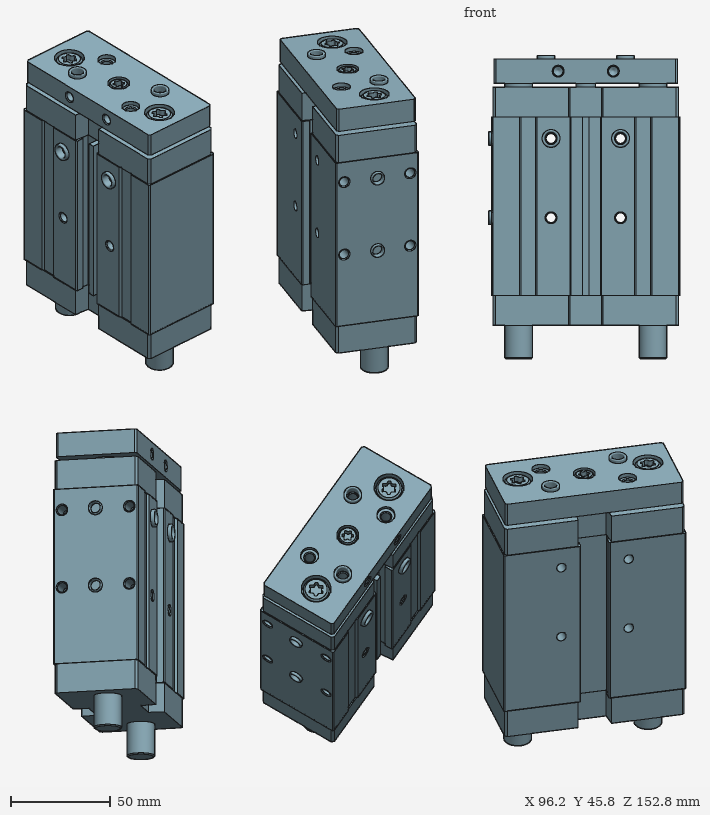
import cadquery as cq
import math


total_height = 152.8
sleeve_projection = 1.8
plate_thickness = 12.2
plate_gap = 2.0
cap_height = 15.0
profile_height = 90.0

plate_top = total_height - sleeve_projection
plate_bottom = plate_top - plate_thickness
upper_cap_top = plate_bottom - plate_gap
profile_top = upper_cap_top - cap_height
profile_bottom = profile_top - profile_height
lower_cap_bottom = profile_bottom - cap_height

profile_width = 94.7
profile_depth = 44.0
profile_chamfer = 0.6
cap_width = 93.5
cap_depth = 43.0
cap_chamfer = 1.2
plate_width = 92.6
plate_depth = 41.9
plate_chamfer = 1.0
profile_front = -profile_depth / 2
profile_side = -profile_width / 2

cap_slot_floor_width = 15.9
cap_slot_mouth_width = 17.4
profile_slot_width = 16.2
profile_lip_gap = 14.7
profile_lip_thickness = 4.3
lip_chamfer = 0.6
slot_floor = 13.5
rail_width = 3.0
rail_front = 18.6
groove_inner = 24.6
groove_outer = 33.5
groove_depth = 1.2
groove_wall_slope = 0.8

guide_spacing = 67.7
guide_offset = -2.9
guide_diameter = 14.0
guide_end_chamfer = 0.6
piston_rod_diameter = 10.0

guide_counterbore = 15.0
guide_head = 13.0
guide_head_chamfer = 0.9
guide_head_recess = 0.6
guide_socket = 7.6
piston_counterbore = 11.0
piston_head = 9.5
piston_head_chamfer = 0.6
piston_head_recess = 0.3
piston_socket = 5.8
counterbore_depth = 6.1
socket_depth = 3.0
socket_valley_ratio = 0.72
socket_lobe_angle = 60.0
guide_socket_turn = 90.0
piston_socket_turn = 0.0

large_sleeve_diameter = 9.0
large_sleeve_bore = 6.1
large_sleeve_seat = 2.1
small_sleeve_diameter = 7.0
small_sleeve_bore = 5.3
small_sleeve_seat = 1.2
small_sleeve_projection = 1.5

thread_diameter = 4.9
thread_mouth = 6.0
plate_hole_x = 20.0
plate_hole_y = 10.0
plate_front_hole_x = 13.9
plate_front_hole_depth = 9.2
body_hole_spacing = 35.0
upper_hole_z = 111.0
lower_hole_z = 71.0
side_hole_depth = 12.2
drill_angle = 118.0


def block(width, depth, bottom, top, edge_chamfer):
    """Upright rectangular block with chamfered vertical edges."""
    base = cq.Workplane("XY").workplane(offset=bottom)
    return base.rect(width, depth).extrude(top - bottom).edges("|Z").chamfer(edge_chamfer)


def rod(x, y, diameter, bottom, top):
    base = cq.Workplane("XY").workplane(offset=bottom)
    return base.center(x, y).circle(diameter / 2).extrude(top - bottom)


def turning_plane(point, direction):
    """Plane whose local Y runs along direction and whose local X is the radius."""
    along = cq.Plane(origin=point, normal=direction)
    return cq.Workplane(cq.Plane(origin=point, xDir=along.xDir, normal=along.xDir.cross(along.zDir)))


def turned(outline):
    return outline.close().revolve(360, (0, 0), (0, 1))


def threaded_hole(mouth, direction, depth):
    """Cutter for a blind hole with a chamfered mouth and a drilled tip."""
    radius = thread_diameter / 2
    mouth_radius = thread_mouth / 2
    tip = depth + radius / math.tan(math.radians(drill_angle / 2))
    outline = [(0, 0), (mouth_radius, 0), (radius, mouth_radius - radius), (radius, depth), (0, tip)]
    return turned(turning_plane(mouth, direction).polyline(outline))


def through_hole(mouth, direction, length):
    """Cutter for a hole with a chamfered mouth."""
    radius = thread_diameter / 2
    mouth_radius = thread_mouth / 2
    outline = [(0, 0), (mouth_radius, 0), (radius, mouth_radius - radius), (radius, length), (0, length)]
    return turned(turning_plane(mouth, direction).polyline(outline))


def sleeve_seat(mouth, direction, diameter, depth):
    """Cutter for the flat-bottomed recess that holds a centring sleeve."""
    outline = [(0, 0), (diameter / 2, 0), (diameter / 2, depth), (0, depth)]
    return turned(turning_plane(mouth, direction).polyline(outline))


def centring_sleeve(mouth, direction, diameter, bore, seat, projection):
    """Ring with a full-round rim that fills its seat; direction points into the face."""
    outer = diameter / 2
    inner = bore / 2
    rim_radius = (outer - inner) / 2
    rim_start = rim_radius - projection
    outline = (
        turning_plane(mouth, direction)
        .moveTo(inner, seat)
        .lineTo(outer, seat)
        .lineTo(outer, rim_start)
        .threePointArc((outer - rim_radius, -projection), (inner, rim_start))
    )
    return turned(outline)


down = (0, 0, -1)
into_front = (0, 1, 0)
into_side = (1, 0, 0)
guide_places = [(side * guide_spacing / 2, guide_offset) for side in (-1, 1)]
hole_heights = (lower_hole_z, upper_hole_z)


def lengthwise_channel(half_outline, facing, bottom, height):
    """Cutter along Z, symmetric in X.

    half_outline holds (half width, distance from the centre plane) points from floor to mouth;
    facing is -1 for the front face and 1 for the back face.
    """
    right = [(x, facing * y) for x, y in half_outline]
    left = [(-x, facing * y) for x, y in reversed(half_outline)]
    base = cq.Workplane("XY").workplane(offset=bottom)
    return base.polyline(right + left).close().extrude(height)


def drill_for_guides(body):
    for x, y in guide_places:
        body = body.cut(rod(x, y, guide_diameter, 0, total_height))
    return body


def drill_for_piston_rod(body):
    return body.cut(rod(0, 0, piston_rod_diameter, profile_bottom, total_height))


def end_cap(bottom):
    cap = block(cap_width, cap_depth, bottom, bottom + cap_height, cap_chamfer)
    slot = [(cap_slot_floor_width / 2, slot_floor), (cap_slot_mouth_width / 2, cap_depth / 2)]
    for facing in (-1, 1):
        cap = cap.cut(lengthwise_channel(slot, facing, bottom, cap_height))
    return drill_for_guides(cap)


lower_cap = end_cap(lower_cap_bottom)
upper_cap = drill_for_piston_rod(end_cap(profile_top))


def cut_lipped_slots(body):
    face = profile_depth / 2
    lip_inside = face - profile_lip_thickness
    slot = [
        (profile_slot_width / 2, slot_floor),
        (profile_slot_width / 2, lip_inside),
        (profile_lip_gap / 2, lip_inside),
        (profile_lip_gap / 2, face - lip_chamfer),
        (profile_lip_gap / 2 + lip_chamfer, face),
    ]
    for facing in (-1, 1):
        body = body.cut(lengthwise_channel(slot, facing, profile_bottom, profile_height))
    return body


def add_rail(body):
    rail_height = rail_front - slot_floor
    base = cq.Workplane("XY").workplane(offset=profile_bottom)
    rail = base.center(0, -slot_floor - rail_height / 2).rect(rail_width, rail_height)
    return body.union(rail.extrude(profile_height))


def cut_front_grooves(body):
    face = profile_depth / 2
    half_mouth = (groove_outer - groove_inner) / 2
    groove = [(half_mouth - groove_wall_slope, face - groove_depth), (half_mouth, face)]
    cutter = lengthwise_channel(groove, -1, profile_bottom, profile_height)
    groove_x = (groove_inner + groove_outer) / 2
    for side in (-1, 1):
        body = body.cut(cutter.translate((side * groove_x, 0, 0)))
    return body


def profile_body():
    body = block(profile_width, profile_depth, profile_bottom, profile_top, profile_chamfer)
    body = cut_front_grooves(add_rail(cut_lipped_slots(body)))
    return drill_for_piston_rod(drill_for_guides(body))


front_seats = [(side * body_hole_spacing / 2, profile_front, upper_hole_z) for side in (-1, 1)]
side_seats = [(profile_side, 0, z) for z in hole_heights]


def add_profile_holes(body):
    for z in hole_heights:
        for side in (-1, 1):
            offset = side * body_hole_spacing / 2
            body = body.cut(through_hole((offset, profile_front, z), into_front, profile_depth))
            body = body.cut(threaded_hole((profile_side, offset, z), into_side, side_hole_depth))
    for seat in front_seats:
        body = body.cut(sleeve_seat(seat, into_front, large_sleeve_diameter, large_sleeve_seat))
    for seat in side_seats:
        body = body.cut(sleeve_seat(seat, into_side, small_sleeve_diameter, small_sleeve_seat))
    return body


profile = add_profile_holes(profile_body())


def socket(x, y, top, point_diameter, turn):
    """Cutter for a six-lobed socket; turn is the angle of its first lobe in degrees."""
    point_radius = point_diameter / 2
    valley_radius = point_radius * socket_valley_ratio
    flank_radius = (point_radius + valley_radius) / 2

    def at(radius, angle):
        direction = math.radians(turn + angle)
        return (x + radius * math.cos(direction), y + radius * math.sin(direction))

    quarter = socket_lobe_angle / 4
    outline = cq.Workplane("XY").workplane(offset=top).moveTo(*at(flank_radius, -quarter))
    for lobe in range(round(360 / socket_lobe_angle)):
        tip = lobe * socket_lobe_angle
        outline = outline.threePointArc(at(point_radius, tip), at(flank_radius, tip + quarter))
        outline = outline.threePointArc(
            at(valley_radius, tip + 2 * quarter), at(flank_radius, tip + 3 * quarter)
        )
    return outline.close().extrude(-socket_depth)


def screw_head(x, y, head, chamfer, recess, point_diameter, turn):
    """Chamfered screw head with a socket, standing on the counterbore floor."""
    top = plate_top - recess
    body = rod(x, y, head, plate_top - counterbore_depth, top).faces(">Z").chamfer(chamfer)
    return body.cut(socket(x, y, top, point_diameter, turn))


def sink_screw_head(body, x, y, counterbore, head):
    """Cut a counterbore and leave the screw head standing in it."""
    bore = rod(x, y, counterbore, plate_top - counterbore_depth, plate_top)
    return body.cut(bore).union(head)


def yoke_body():
    body = block(plate_width, plate_depth, plate_bottom, plate_top, plate_chamfer)
    for x, y in guide_places:
        guide = rod(x, y, guide_diameter, 0, plate_bottom).faces("<Z").chamfer(guide_end_chamfer)
        body = body.union(guide)
    body = body.union(rod(0, 0, piston_rod_diameter, profile_bottom, plate_bottom))
    for x, y in guide_places:
        head = screw_head(
            x, y, guide_head, guide_head_chamfer, guide_head_recess, guide_socket, guide_socket_turn
        )
        body = sink_screw_head(body, x, y, guide_counterbore, head)
    head = screw_head(
        0, 0, piston_head, piston_head_chamfer, piston_head_recess, piston_socket, piston_socket_turn
    )
    return sink_screw_head(body, 0, 0, piston_counterbore, head)


plate_seats = [(side * plate_hole_x, side * plate_hole_y, plate_top) for side in (-1, 1)]
open_seats = [(side * plate_hole_x, -side * plate_hole_y, plate_top) for side in (-1, 1)]


def add_plate_holes(body):
    for x, y, z in plate_seats + open_seats:
        seat_floor = (x, y, z - large_sleeve_seat)
        body = body.cut(sleeve_seat((x, y, z), down, large_sleeve_diameter, large_sleeve_seat))
        body = body.cut(through_hole(seat_floor, down, plate_thickness - large_sleeve_seat))
    for side in (-1, 1):
        mouth = (side * plate_front_hole_x, -plate_depth / 2, (plate_top + plate_bottom) / 2)
        body = body.cut(threaded_hole(mouth, into_front, plate_front_hole_depth))
    return body


yoke = add_plate_holes(yoke_body())


def large_sleeve(seat, direction):
    return centring_sleeve(
        seat, direction, large_sleeve_diameter, large_sleeve_bore, large_sleeve_seat, sleeve_projection
    )


def small_sleeve(seat, direction):
    return centring_sleeve(
        seat,
        direction,
        small_sleeve_diameter,
        small_sleeve_bore,
        small_sleeve_seat,
        small_sleeve_projection,
    )


plate_sleeves = [large_sleeve(seat, down) for seat in plate_seats]
front_sleeves = [large_sleeve(seat, into_front) for seat in front_seats]
side_sleeves = [small_sleeve(seat, into_side) for seat in side_seats]
sleeves = plate_sleeves + front_sleeves + side_sleeves

bodies = [lower_cap, profile, upper_cap, yoke] + sleeves
result = cq.Compound.makeCompound([body.val() for body in bodies])